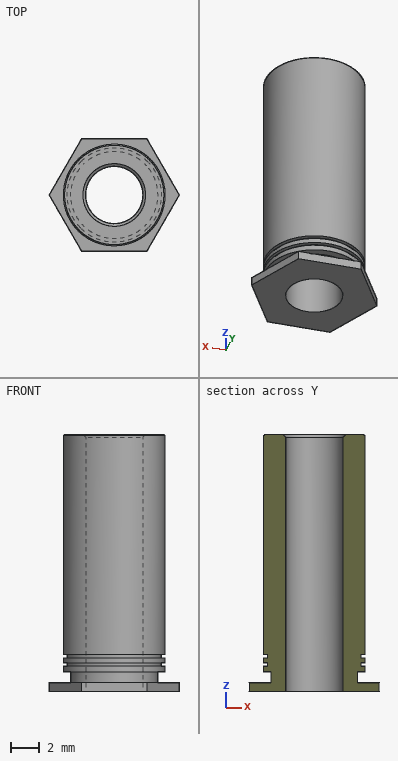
import cadquery as cq
import math

total_height = 18.0
hex_across_flats = 7.9
hex_across_corners = hex_across_flats / math.cos(math.radians(30))

body_diameter = 7.13
groove_diameter = 6.6
neck_diameter = 6.1
bore_diameter = 4.0

flange_top = 0.63
neck_top = 1.39
groove_bottoms = (1.78, 2.35)
groove_width = 0.23

outer_chamfer = 0.09
bore_chamfer = 0.2


def cylinder(diameter, bottom, top):
    """Solid cylinder on the Z axis between two heights."""
    return cq.Workplane("XY").workplane(offset=bottom).circle(diameter / 2).extrude(top - bottom)


def ring_groove(bottom):
    """Ring of material to remove around the barrel."""
    top = bottom + groove_width
    return cylinder(hex_across_corners, bottom, top).cut(cylinder(groove_diameter, bottom, top))


flange = cq.Workplane("XY").polygon(6, hex_across_corners).extrude(flange_top)

neck = cylinder(neck_diameter, flange_top, neck_top)

barrel = cylinder(body_diameter, neck_top, total_height).faces(">Z").edges().chamfer(outer_chamfer)
for groove_bottom in groove_bottoms:
    barrel = barrel.cut(ring_groove(groove_bottom))

bore = cylinder(bore_diameter, 0, total_height)
sleeve = flange.union(neck).union(barrel).cut(bore)
bore_rim = cq.selectors.RadiusNthSelector(0)
result = sleeve.faces(">Z").edges(bore_rim).chamfer(bore_chamfer)